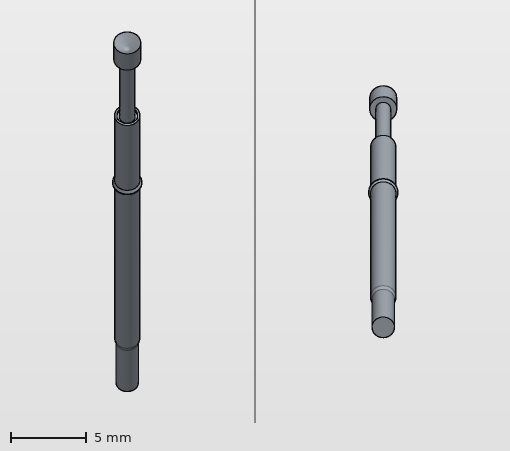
import cadquery as cq

total_height = 38.15

head_diameter = 1.8
head_height = 1.85
cup_depth = 0.88
stem_diameter = 1.0

barrel_diameter = 1.68
barrel_top = 30.02
ring_diameter = 1.95
ring_bottom = 22.28
ring_lower_bevel = 0.15
ring_land = 0.08
ring_upper_bevel = 0.23
tail_diameter = 1.5
tail_top = 4.6
taper_height = 0.4

mouth_diameter = 1.37
mouth_depth = 0.2
bore_diameter = 1.03
bore_depth = 3.8


def make_plunger():
    """Stem seated on the bore floor, with a conical cup in its head."""
    stem_bottom = barrel_top - bore_depth
    head_bottom = total_height - head_height
    profile = [
        (0, stem_bottom),
        (stem_diameter / 2, stem_bottom),
        (stem_diameter / 2, head_bottom),
        (head_diameter / 2, head_bottom),
        (head_diameter / 2, total_height),
        (0, total_height - cup_depth),
    ]
    return revolve_about_z(profile)


def make_barrel():
    """Stepped barrel with a bevelled press ring and a blind stem bore."""
    bore_floor = barrel_top - bore_depth
    land_bottom = ring_bottom + ring_lower_bevel
    land_top = land_bottom + ring_land
    mouth_floor = barrel_top - mouth_depth
    profile = [
        (0, 0),
        (tail_diameter / 2, 0),
        (tail_diameter / 2, tail_top),
        (barrel_diameter / 2, tail_top + taper_height),
        (barrel_diameter / 2, ring_bottom),
        (ring_diameter / 2, land_bottom),
        (ring_diameter / 2, land_top),
        (barrel_diameter / 2, land_top + ring_upper_bevel),
        (barrel_diameter / 2, barrel_top),
        (mouth_diameter / 2, barrel_top),
        (mouth_diameter / 2, mouth_floor),
        (bore_diameter / 2, mouth_floor),
        (bore_diameter / 2, bore_floor),
        (0, bore_floor),
    ]
    return revolve_about_z(profile)


def revolve_about_z(profile):
    """Turn a closed (radius, height) outline into a solid about the Z axis."""
    return cq.Workplane("XZ").polyline(profile).close().revolve(360, (0, 0), (0, 1))


plunger = make_plunger()
barrel = make_barrel()

result = cq.Compound.makeCompound([plunger.val(), barrel.val()])